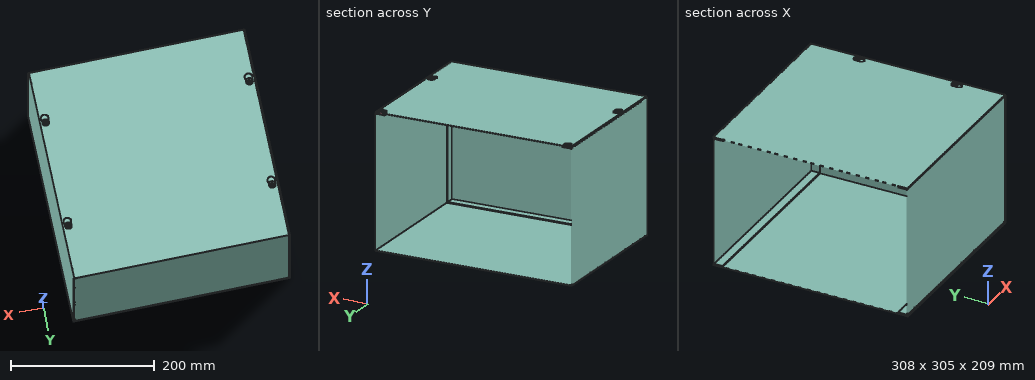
import cadquery as cq
import math

box_width = 308.0
box_depth = 305.0
body_height = 204.8
sheet = 1.7
bend_radius = 2.0
flange_width = 14.8
lid_side_inset = 1.5

screw_spacing_x = 289.5
screw_spacing_y = 153.0
screw_center_y = -0.5
head_diameter = 10.0
head_height = 2.5
shank_diameter = 4.3
recess_length = 7.0
recess_width = 1.0
recess_depth = 1.0

keyhole_diameter = 10.5
keyhole_slot_width = 7.0
keyhole_offset = 6.5

lid_top = body_height + sheet
head_top = lid_top + head_height
inner_width = box_width - 2 * sheet
panel_height = body_height - sheet
panel_center_y = (box_depth - flange_width) / 2
head_radius = head_diameter / 2
head_sphere_radius = (head_radius**2 + head_height**2) / (2 * head_height)
screw_points = [
    (x_side * screw_spacing_x / 2, screw_center_y + y_side * screw_spacing_y / 2)
    for x_side in (-1, 1)
    for y_side in (-1, 1)
]


def block(width, depth, height, bottom=0.0):
    """Box centred on the Z axis, standing on the level 'bottom'."""
    return cq.Workplane("XY", origin=(0, 0, bottom)).box(width, depth, height, centered=(True, True, False))


def make_body():
    """Folded channel: floor, two side walls and two inward top flanges."""
    outside = block(box_width, box_depth, body_height).edges("|Y").fillet(bend_radius)
    inside = block(inner_width, box_depth, body_height - 2 * sheet, sheet)
    opening = block(box_width - 2 * flange_width, box_depth, sheet, body_height - sheet)
    body = outside.cut(inside).cut(opening)
    for y_side in (-1, 1):
        panel_space = block(inner_width, flange_width, panel_height, sheet)
        body = body.cut(panel_space.translate((0, y_side * panel_center_y, 0)))
    screw_holes = (
        cq.Workplane("XY", origin=(0, 0, body_height))
        .pushPoints(screw_points)
        .circle(shank_diameter / 2)
        .extrude(-sheet)
    )
    return body.cut(screw_holes)


def make_end_panel(y_side):
    """Shallow tray closing one end of the channel, its four flanges folded inwards."""
    tray = block(inner_width, flange_width, panel_height, sheet)
    outer_face = ">Y" if y_side > 0 else "<Y"
    tray = tray.faces(outer_face).edges().fillet(bend_radius)
    hollow = block(inner_width - 2 * sheet, flange_width, panel_height - 2 * sheet, 2 * sheet)
    tray = tray.cut(hollow.translate((0, -y_side * sheet, 0)))
    return tray.translate((0, y_side * panel_center_y, 0))


def make_keyhole(x, y):
    """Cutter for one keyhole: entry hole and a round-ended slot up to the screw axis."""
    base = cq.Workplane("XY", origin=(x, y, body_height))
    entry = base.center(0, -keyhole_offset).circle(keyhole_diameter / 2).extrude(sheet)
    slot_end = base.circle(keyhole_slot_width / 2).extrude(sheet)
    slot = base.center(0, -keyhole_offset / 2).rect(keyhole_slot_width, keyhole_offset).extrude(sheet)
    return entry.union(slot_end).union(slot)


def make_lid():
    """Flat cover with one keyhole per screw."""
    lid = block(box_width - 2 * lid_side_inset, box_depth, sheet, body_height)
    for x, y in screw_points:
        lid = lid.cut(make_keyhole(x, y))
    return lid


def make_screw(x, y):
    """Round-head screw with a cross recess; its head rests on the lid."""
    half_angle = math.asin(head_radius / head_sphere_radius) / 2
    arc_x = head_sphere_radius * math.sin(half_angle)
    arc_z = head_top - head_sphere_radius * (1 - math.cos(half_angle))
    head = (
        cq.Workplane("XZ")
        .moveTo(0, lid_top)
        .lineTo(head_radius, lid_top)
        .threePointArc((arc_x, arc_z), (0, head_top))
        .close()
        .revolve(360, (0, 0, 0), (0, 1, 0))
    )
    shank = cq.Workplane("XY", origin=(0, 0, lid_top)).circle(shank_diameter / 2).extrude(-2 * sheet)
    recess_floor = head_top - recess_depth
    recess = block(recess_length, recess_width, recess_depth, recess_floor)
    recess = recess.union(block(recess_width, recess_length, recess_depth, recess_floor))
    return head.union(shank).cut(recess).translate((x, y, 0))


body = make_body()
lid = make_lid()
end_panels = [make_end_panel(y_side) for y_side in (-1, 1)]
screws = [make_screw(x, y) for x, y in screw_points]

result = cq.Compound.makeCompound(
    [part.solids().val() for part in (body, lid, *end_panels, *screws)]
)